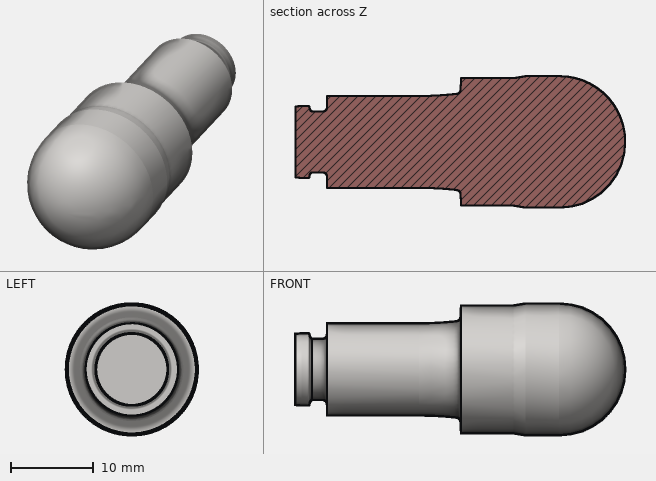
import cadquery as cq
import math

total_length = 40.0
body_radius = 8.0
dome_start = total_length - body_radius
body_start = 27.9

collar_radius = 7.75
collar_end = 26.5
collar_start = 20.1
collar_face_root = 20.0
collar_root_radius = 6.3

shank_start = 3.85
shank_radius = 5.6
flare_start = 15.05
flare_end = 19.5
flare_end_radius = 5.85

neck_radius = 3.7
neck_start = 2.05
neck_fillet = 0.5

head_radius = 4.4
head_face_radius = 4.3
head_taper_length = 0.85
head_round_start = 1.55
head_round = 0.2
head_back_start = head_round_start + head_round
head_back_end = 1.8
head_back_end_radius = 4.05

flare_length = flare_end - flare_start
flare_rise = flare_end_radius - shank_radius
flare_arc = (flare_length**2 + flare_rise**2) / (2 * flare_rise)
flare_half_angle = math.asin(flare_length / flare_arc) / 2
flare_mid = (
    flare_start + flare_arc * math.sin(flare_half_angle),
    shank_radius + flare_arc * (1 - math.cos(flare_half_angle)),
)
flare_end_tangent = (math.cos(2 * flare_half_angle), math.sin(2 * flare_half_angle))

diagonal = math.sqrt(0.5)
head_round_mid = (
    head_round_start + head_round * diagonal,
    head_radius - head_round * (1 - diagonal),
)
neck_fillet_mid = (
    shank_start - neck_fillet * (1 - diagonal),
    neck_radius + neck_fillet * (1 - diagonal),
)
dome_mid = (dome_start + body_radius * diagonal, body_radius * diagonal)

profile = (
    cq.Workplane("XY")
    .moveTo(0, 0)
    .lineTo(0, head_face_radius)
    .lineTo(head_taper_length, head_radius)
    .lineTo(head_round_start, head_radius)
    .threePointArc(head_round_mid, (head_back_start, head_radius - head_round))
    .lineTo(head_back_end, head_back_end_radius)
    .tangentArcPoint((neck_start, neck_radius), relative=False)
    .lineTo(shank_start - neck_fillet, neck_radius)
    .threePointArc(neck_fillet_mid, (shank_start, neck_radius + neck_fillet))
    .lineTo(shank_start, shank_radius)
    .lineTo(flare_start, shank_radius)
    .threePointArc(flare_mid, (flare_end, flare_end_radius))
    .spline(
        [(collar_face_root, collar_root_radius)],
        tangents=[
            flare_end_tangent,
            (collar_start - collar_face_root, collar_radius - collar_root_radius),
        ],
        includeCurrent=True,
    )
    .lineTo(collar_start, collar_radius)
    .lineTo(collar_end, collar_radius)
    .lineTo(body_start, body_radius)
    .lineTo(dome_start, body_radius)
    .threePointArc(dome_mid, (total_length, 0))
    .close()
)

result = profile.revolve(360, (0, 0, 0), (1, 0, 0))